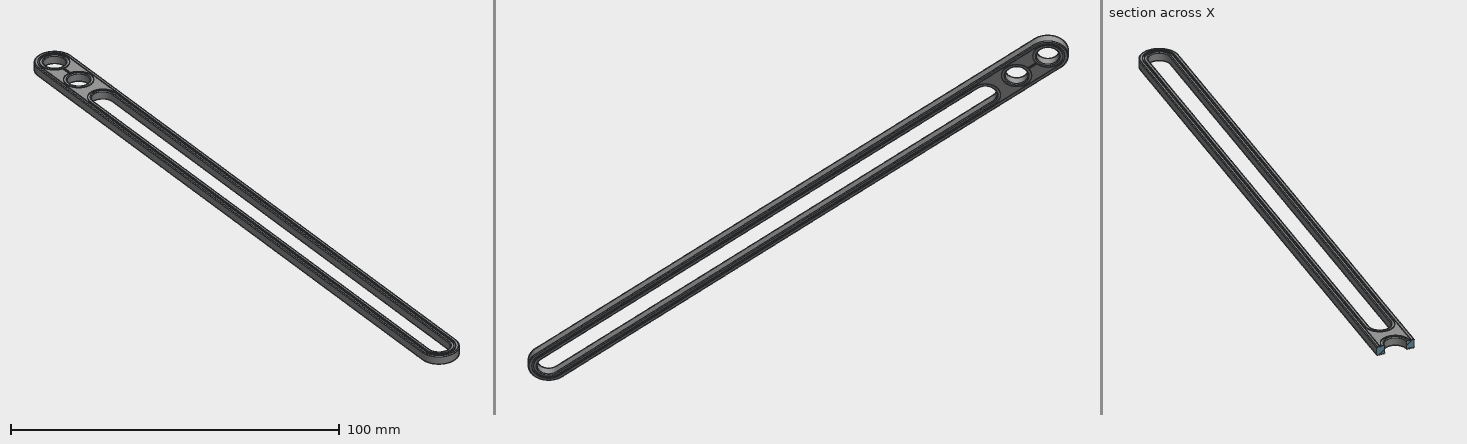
import cadquery as cq

pitch = 12.5
pitch_count = 17
thickness = 3.12
round_hole_count = 2
bore_diameter = 7.0
rim_diameter = 9.2
edge_chamfer = 0.3
panel_depth = 0.2
ridge_length = 2.8
ridge_width = 0.5

length = pitch * pitch_count
face_z = thickness / 2
rail_width = (rim_diameter - bore_diameter) / 2

end_centre_x = (length - pitch) / 2
hole_xs = [-end_centre_x + index * pitch for index in range(round_hole_count)]
slot_start_x = -end_centre_x + round_hole_count * pitch

openings = [(x, x) for x in hole_xs] + [(slot_start_x, end_centre_x)]


def rounded_prism(start_x, end_x, width, height):
    """Round-ended prism standing on Z = 0, a cylinder when both end centres coincide."""
    sketch = cq.Workplane("XY").center((start_x + end_x) / 2, 0)
    if start_x == end_x:
        return sketch.circle(width / 2).extrude(height)
    return sketch.slot2D(end_x - start_x + width, width).extrude(height)


def on_both_faces(top_cutter):
    """Pair a cutter at the top face with its mirror image at the bottom face."""
    return top_cutter.union(top_cutter.mirror("XY"))


def plain_bar():
    """Round-ended bar with a chamfer around both faces."""
    bar = rounded_prism(-end_centre_x, end_centre_x, pitch, thickness).translate((0, 0, -face_z))
    return bar.faces("<Z or >Z").edges().chamfer(edge_chamfer)


def panel_recess():
    """Shallow recess inside the outer rail that leaves the rims and the small ridge standing."""
    recess = rounded_prism(-end_centre_x, end_centre_x, pitch - 2 * rail_width, panel_depth)
    for start_x, end_x in openings:
        recess = recess.cut(rounded_prism(start_x, end_x, rim_diameter, panel_depth))
    ridge_x = sum(hole_xs) / len(hole_xs)
    ridge = cq.Workplane("XY").center(ridge_x, 0).rect(ridge_length, ridge_width).extrude(panel_depth)
    return recess.cut(ridge).translate((0, 0, face_z - panel_depth))


def cut_openings(body):
    """Cut the round holes and the long slot right through."""
    for start_x, end_x in openings:
        through_cut = rounded_prism(start_x, end_x, bore_diameter, thickness)
        body = body.cut(through_cut.translate((0, 0, -face_z)))
    return body


def chamfer_openings(body):
    """Chamfer both ends of each opening, picking only edges that lie inside the rim."""
    zone_radius = (bore_diameter + rim_diameter) / 4
    for start_x, end_x in openings:
        bore_zone = cq.selectors.BoxSelector(
            (start_x - zone_radius, -zone_radius, -thickness),
            (end_x + zone_radius, zone_radius, thickness),
            boundingbox=True,
        )
        bore_edges = body.faces("<Z or >Z").edges(bore_zone).vals()
        body = body.newObject(bore_edges).chamfer(edge_chamfer)
    return body


result = plain_bar().cut(on_both_faces(panel_recess()))
result = chamfer_openings(cut_openings(result))